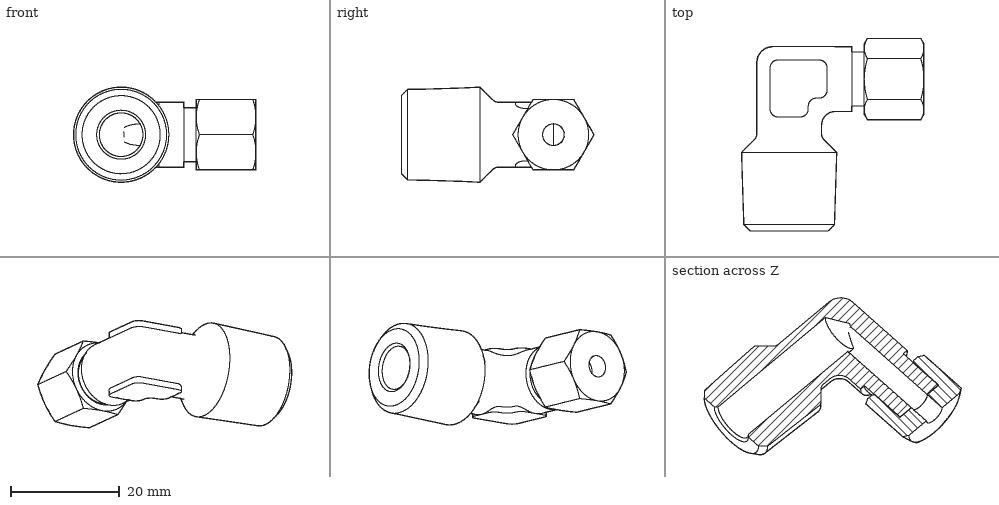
import cadquery as cq
import math


overall_x = 33.63
overall_y = 35.5

body_radius = 6.0
thread_radius = 17.58 / 2
thread_length = 14.5
thread_taper = 1 / 32
end_chamfer = 1.17
neck_radius = 1.5
outer_round = 3.0
inner_round = 2.5
arm_length = 11.55
spigot_radius = 5.0

flat_half_width = 3.5
flat_reach = 7.0
flat_corner_radius = 1.5

leg_bore_radius = 4.0
leg_bore_chamfer = 0.5
drill_half_angle = math.radians(60)
branch_bore_radius = 2.0

nut_end_x = overall_x - thread_radius
nut_length = 11.0
nut_across_flats = 13.0
nut_socket_depth = 7.1
nut_mouth_chamfer = 0.32
nut_chamfer_angle = math.radians(30)

nut_flat_radius = nut_across_flats / 2
nut_corner_radius = nut_flat_radius / math.cos(math.radians(30))
nut_start_x = nut_end_x - nut_length
spigot_end_x = nut_start_x + nut_socket_depth
leg_length = overall_y - nut_corner_radius


def bent_body():
    """Round bar mitred through 90 degrees."""
    path = cq.Workplane("XY").polyline([(0, -leg_length / 2), (0, 0), (arm_length, 0)])
    return (
        cq.Workplane("XZ", origin=(0, -leg_length / 2, 0))
        .circle(body_radius)
        .sweep(path, transition="right")
    )


def side_flats():
    """L-shaped block whose top and bottom stand as flat pads on the round corner."""
    w, reach = flat_half_width, flat_reach
    outline = [(-w, w), (reach, w), (reach, -w), (w, -w), (w, -reach), (-w, -reach)]
    return (
        cq.Workplane("XY", origin=(0, 0, -body_radius))
        .polyline(outline)
        .close()
        .extrude(2 * body_radius)
        .edges("|Z")
        .fillet(flat_corner_radius)
    )


def threaded_end():
    """Chamfered 1:16 taper with a 45 degree shoulder blended into the leg."""
    face_y = -leg_length
    chamfer_y = face_y + end_chamfer
    thread_end_y = face_y + thread_length
    small_radius = thread_radius - thread_taper * (thread_length - end_chamfer)
    diagonal = math.sqrt(0.5)
    neck_start_radius = body_radius + neck_radius * (1 - diagonal)
    neck_start_y = thread_end_y + thread_radius - neck_start_radius
    neck_end_y = neck_start_y + neck_radius * diagonal
    mid = math.radians(22.5)
    neck_middle = (
        body_radius + neck_radius * (1 - math.cos(mid)),
        neck_end_y - neck_radius * math.sin(mid),
    )
    return (
        cq.Workplane("XY")
        .moveTo(0, face_y)
        .lineTo(small_radius - end_chamfer, face_y)
        .lineTo(small_radius, chamfer_y)
        .lineTo(thread_radius, thread_end_y)
        .lineTo(neck_start_radius, neck_start_y)
        .threePointArc(neck_middle, (body_radius, neck_end_y))
        .lineTo(0, neck_end_y)
        .close()
        .revolve(360, (0, 0, 0), (0, 1, 0))
    )


def round_corners(body):
    """Round the mitre seam outside the corner (-X half) and inside it (+X half)."""
    reach = 2 * body_radius
    outside = cq.selectors.BoxSelector((-reach, -reach, -reach), (0, reach, reach))
    inside = cq.selectors.BoxSelector((0, -reach, -reach), (reach, reach, reach))
    body = body.edges("%ELLIPSE").edges(outside).fillet(outer_round)
    return body.edges("%ELLIPSE").edges(inside).fillet(inner_round)


def spigot():
    """Threaded spigot on the end of the arm."""
    return cq.Workplane("YZ").circle(spigot_radius).extrude(spigot_end_x)


def leg_bore():
    """Drilled bore with a conical bottom starting at the branch axis."""
    face_y = -leg_length
    return (
        cq.Workplane("XY")
        .moveTo(0, face_y)
        .lineTo(leg_bore_radius + leg_bore_chamfer, face_y)
        .lineTo(leg_bore_radius, face_y + leg_bore_chamfer)
        .lineTo(leg_bore_radius, 0)
        .lineTo(0, leg_bore_radius / math.tan(drill_half_angle))
        .close()
        .revolve(360, (0, 0, 0), (0, 1, 0))
    )


def branch_bore():
    """Bore along the arm, running from the corner out through the nut."""
    return cq.Workplane("YZ").circle(branch_bore_radius).extrude(nut_end_x)


def make_elbow():
    body = round_corners(bent_body().union(side_flats()))
    body = body.union(threaded_end()).union(spigot())
    return body.cut(leg_bore()).cut(branch_bore())


def mouth_countersink():
    """45 degree cone that widens the mouth of the nut's socket."""
    return cq.Workplane("XY").add(
        cq.Solid.makeCone(
            spigot_radius + nut_mouth_chamfer,
            spigot_radius,
            nut_mouth_chamfer,
            pnt=cq.Vector(nut_start_x, 0, 0),
            dir=cq.Vector(1, 0, 0),
        )
    )


def make_nut():
    """Hexagon with two faces parallel to the pads and both ends chamfered."""
    chamfer_depth = (nut_corner_radius - nut_flat_radius) * math.tan(nut_chamfer_angle)
    hexagon = (
        cq.Workplane("YZ", origin=(nut_start_x, 0, 0))
        .polygon(6, 2 * nut_corner_radius)
        .extrude(nut_length)
    )
    chamfer_envelope = (
        cq.Workplane("XY")
        .moveTo(nut_start_x, 0)
        .lineTo(nut_start_x, nut_flat_radius)
        .lineTo(nut_start_x + chamfer_depth, nut_corner_radius)
        .lineTo(nut_end_x - chamfer_depth, nut_corner_radius)
        .lineTo(nut_end_x, nut_flat_radius)
        .lineTo(nut_end_x, 0)
        .close()
        .revolve(360, (0, 0, 0), (1, 0, 0))
    )
    blank = hexagon.intersect(chamfer_envelope)
    return blank.cut(spigot()).cut(mouth_countersink()).cut(branch_bore())


elbow = make_elbow()
nut = make_nut()

result = cq.Compound.makeCompound([elbow.solids().val(), nut.solids().val()])